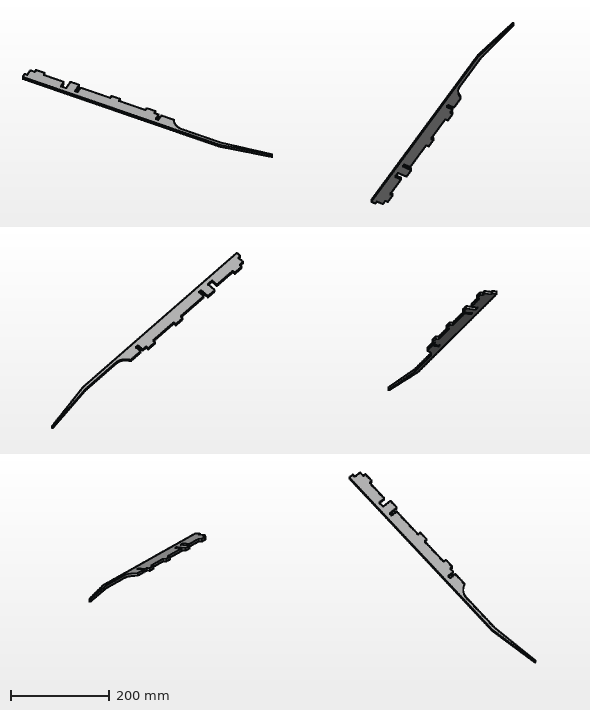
import cadquery as cq
import math

thickness = 6.0
total_length = 556.3

slot_floor = 10.0
body_height = 24.0
tab_height = body_height + thickness

end_step_length = 6.0
body_end = 332.0

tab_length = 20.0
post_start = 94.0
tab_starts = (16.0, post_start, 187.0, 267.0)

narrow_slot_width = thickness
wide_slot_width = 2 * thickness
slots = (
    (post_start - wide_slot_width, wide_slot_width),
    (post_start + tab_length, narrow_slot_width),
    (297.0, narrow_slot_width),
)

shoulder_end = 356.0
shoulder_sagitta = 4.0

arm_width = 7.0
bend_x = 446.0
tip_rise = 20.1
tip_width = 2.2


def make_block(start, length, bottom, top):
    """Full-thickness block spanning the given X and Y ranges."""
    return (
        cq.Workplane("XY")
        .moveTo(start, bottom)
        .rect(length, top - bottom, centered=False)
        .extrude(thickness)
    )


def make_blank():
    """Body, shoulder and bent arm in one outline."""
    bend_angle = math.atan2(tip_rise, total_length - bend_x)
    tip_top_x = total_length - tip_width * math.sin(bend_angle)
    tip_top_y = tip_rise + tip_width * math.cos(bend_angle)
    return (
        cq.Workplane("XY")
        .lineTo(bend_x, 0)
        .lineTo(total_length, tip_rise)
        .lineTo(tip_top_x, tip_top_y)
        .lineTo(bend_x, arm_width)
        .lineTo(shoulder_end, arm_width)
        .sagittaArc((body_end, body_height), shoulder_sagitta)
        .lineTo(end_step_length, body_height)
        .lineTo(end_step_length, slot_floor)
        .lineTo(0, slot_floor)
        .close()
        .extrude(thickness)
    )


def add_tabs(part):
    """Raise the tabs, rooted at the slot floor so they merge with the body."""
    for tab_start in tab_starts:
        part = part.union(make_block(tab_start, tab_length, slot_floor, tab_height))
    return part


def cut_slots(part):
    """Cut the slots through the body's upper edge."""
    for slot_start, slot_width in slots:
        part = part.cut(make_block(slot_start, slot_width, slot_floor, tab_height))
    return part


result = cut_slots(add_tabs(make_blank()))